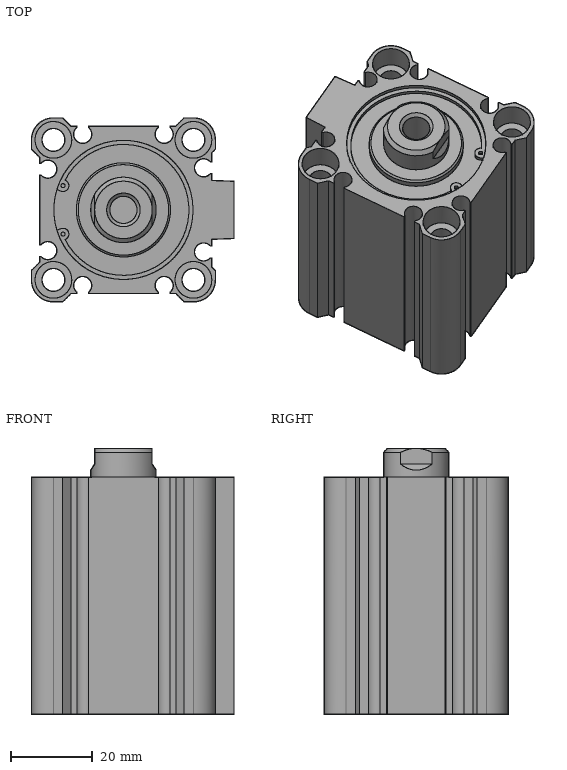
import cadquery as cq
import math


total_height = 65.0
housing_height = 58.0
corner_reach = 22.5
wall_reach = 20.5
port_wall_reach = 21.6
port_reach = 27.05

column_radius = 5.4
column_center = corner_reach - column_radius
column_flat_end = 14.8
bolt_hole_diameter = 5.5
bolt_head_diameter = 9.0
bolt_head_depth = 7.0

slot_diameter = 4.35
slot_mouth = 2.85
slot_depth = 2.0
slot_offset = 9.95
port_wall_slot_offset = 10.3

port_root_half_width = 7.2
port_face_half_width = 7.0

recess_diameter = 34.0
recess_depth = 2.0
guide_diameter = 23.0
guide_chamfer = 0.45

ring_inner_diameter = 32.0
ring_thickness = 1.0
lug_x = -14.75
lug_y = 5.9
lug_radius = 1.4
lug_hole_diameter = 1.0

rod_diameter = 16.0
rod_chamfer = 1.0
rod_bottom = 39.0
flat_reach = 7.0
flat_bottom = 61.15
flat_slope_bottom = 59.7
rod_hole_diameter = 6.6
rod_hole_mouth_diameter = 8.2
rod_hole_depth = 14.95

CORNER_SIGNS = [(1, 1), (1, -1), (-1, 1), (-1, -1)]


def cylinder(diameter, bottom, top, x=0.0, y=0.0):
    """Vertical cylinder between two heights."""
    base = cq.Workplane("XY", origin=(x, y, bottom))
    return base.circle(diameter / 2).extrude(top - bottom)


def corner_column(x_sign, y_sign):
    """Rounded column with a 45 degree bevel at each end of its outside."""
    bevel_end = column_flat_end - (corner_reach - wall_reach)
    arc_middle = column_center + column_radius * math.sqrt(0.5)

    def corner(x, y):
        return (x_sign * x, y_sign * y)

    return (
        cq.Workplane("XY")
        .moveTo(*corner(bevel_end, bevel_end))
        .lineTo(*corner(wall_reach, bevel_end))
        .lineTo(*corner(corner_reach, column_flat_end))
        .lineTo(*corner(corner_reach, column_center))
        .threePointArc(corner(arc_middle, arc_middle), corner(column_center, corner_reach))
        .lineTo(*corner(column_flat_end, corner_reach))
        .lineTo(*corner(bevel_end, wall_reach))
        .close()
        .extrude(housing_height)
    )


def port_block():
    """Slightly tapered block on the +X wall, as tall as the housing."""
    outline = [
        (0, -port_root_half_width),
        (port_wall_reach, -port_root_half_width),
        (port_reach, -port_face_half_width),
        (port_reach, port_face_half_width),
        (port_wall_reach, port_root_half_width),
        (0, port_root_half_width),
    ]
    return cq.Workplane("XY").polyline(outline).close().extrude(housing_height)


def sensor_slot(wall, offset, side_angle):
    """Round-bottomed slot in the wall that faces side_angle, open to the outside."""
    center = wall - slot_depth
    mouth = (
        cq.Workplane("XY", origin=(center, offset, 0))
        .rect(2 * slot_depth, slot_mouth)
        .extrude(housing_height)
        .translate((slot_depth, 0, 0))
    )
    slot = cylinder(slot_diameter, 0, housing_height, center, offset).union(mouth)
    return slot.rotate((0, 0, 0), (0, 0, 1), side_angle)


def profile():
    """Extruded housing section: core, columns and port block, with the slots cut."""
    core_side = 2 * wall_reach
    core = cq.Workplane("XY").rect(core_side, core_side).extrude(housing_height)
    port_wall = (
        cq.Workplane("XY", origin=(port_wall_reach / 2, 0, 0))
        .rect(port_wall_reach, 2 * column_center)
        .extrude(housing_height)
    )
    body = core.union(port_wall).union(port_block())
    for x_sign, y_sign in CORNER_SIGNS:
        body = body.union(corner_column(x_sign, y_sign))
    for side in (1, -1):
        body = body.cut(sensor_slot(port_wall_reach, side * port_wall_slot_offset, 0))
        for side_angle in (90, 180, 270):
            body = body.cut(sensor_slot(wall_reach, side * slot_offset, side_angle))
    return body


def bolt_hole(x_sign, y_sign):
    """Through hole with a counterbore at the top."""
    x = x_sign * column_center
    y = y_sign * column_center
    shank = cylinder(bolt_hole_diameter, 0, housing_height, x, y)
    return shank.union(cylinder(bolt_head_diameter, housing_height - bolt_head_depth, housing_height, x, y))


def ring_recess():
    """Annular recess around the chamfered rod guide."""
    bottom = housing_height - recess_depth
    guide = cylinder(guide_diameter, bottom, housing_height).faces(">Z").chamfer(guide_chamfer)
    return cylinder(recess_diameter, bottom, housing_height).cut(guide)


def retaining_ring():
    """Open ring on the recess floor, with a pierced lug at each end of its gap."""
    bottom = housing_height - recess_depth
    top = bottom + ring_thickness
    outer_disc = cylinder(recess_diameter, bottom, top)
    gap = (
        cq.Workplane("XY", origin=(0, 0, bottom))
        .polyline([(0, 0), (2 * lug_x, 2 * lug_y), (2 * lug_x, -2 * lug_y)])
        .close()
        .extrude(ring_thickness)
    )
    ring = outer_disc.cut(cylinder(ring_inner_diameter, bottom, top)).cut(gap)
    for side in (1, -1):
        y = side * lug_y
        arm = (
            cq.Workplane("XY", origin=(lug_x, y, bottom))
            .transformed(rotate=(0, 0, math.degrees(math.atan2(y, lug_x))))
            .center(lug_radius, 0)
            .rect(2 * lug_radius, 2 * lug_radius)
            .extrude(ring_thickness)
        )
        lug = cylinder(2 * lug_radius, bottom, top, lug_x, y).union(arm)
        ring = ring.union(lug.intersect(outer_disc))
        ring = ring.cut(cylinder(lug_hole_diameter, bottom, top, lug_x, y))
    return ring


def make_housing():
    body = profile().cut(ring_recess()).union(retaining_ring())
    for x_sign, y_sign in CORNER_SIGNS:
        body = body.cut(bolt_hole(x_sign, y_sign))
    return body.cut(cylinder(rod_diameter, rod_bottom, housing_height))


def wrench_flat():
    """Cutter for the +X flat and the slope that runs out below it."""
    rod_radius = rod_diameter / 2
    outline = [
        (flat_reach, total_height),
        (flat_reach, flat_bottom),
        (rod_radius, flat_slope_bottom),
        (rod_radius, total_height),
    ]
    return cq.Workplane("XZ").polyline(outline).close().extrude(rod_radius, both=True)


def rod_hole():
    """Blind hole in the end of the rod with a 45 degree mouth."""
    mouth_radius = rod_hole_mouth_diameter / 2
    hole_radius = rod_hole_diameter / 2
    outline = [
        (0, total_height),
        (mouth_radius, total_height),
        (hole_radius, total_height - (mouth_radius - hole_radius)),
        (hole_radius, total_height - rod_hole_depth),
        (0, total_height - rod_hole_depth),
    ]
    return cq.Workplane("XZ").polyline(outline).close().revolve(360, (0, 0), (0, 1))


def make_rod():
    body = cylinder(rod_diameter, rod_bottom, total_height).faces(">Z").chamfer(rod_chamfer)
    body = body.cut(wrench_flat()).cut(wrench_flat().mirror("YZ"))
    return body.cut(rod_hole())


housing = make_housing()
rod = make_rod()

result = cq.Compound.makeCompound([housing.val(), rod.val()])